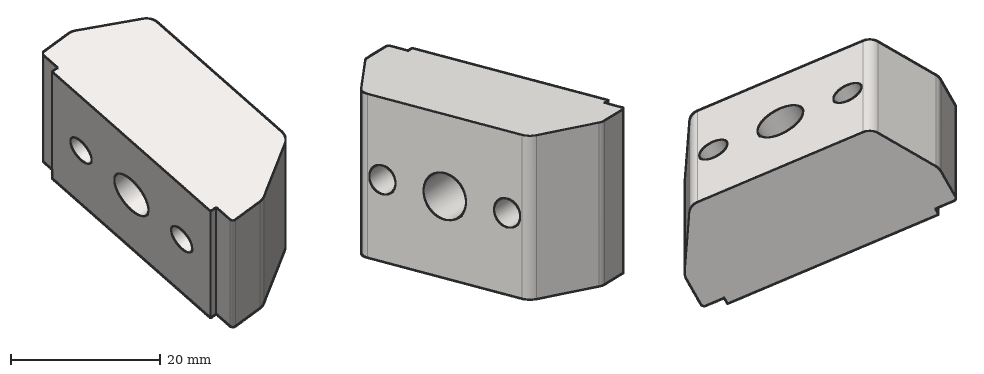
import cadquery as cq
import math

width = 38.0
depth = 16.0
height = 24.0

pad_width = 31.5
pad_thickness = 1.0

back_width = 27.0
slope_angle = 60.0
slope_fillet = 2.0
front_fillet = 0.5

center_hole_diameter = 6.8
side_hole_diameter = 4.2
side_hole_offset = 10.0

half_width = width / 2
half_pad = pad_width / 2
shoulder_y = pad_thickness
half_back = back_width / 2
slope_depth = (half_width - half_back) * math.tan(math.radians(slope_angle))
slope_start_y = depth - slope_depth


def vertical_edges_at(solid, half_x, y):
    """Select the pair of vertical edges at X = -half_x and X = +half_x."""
    reach = 0.01
    return solid.edges("|Z").edges(
        cq.selectors.BoxSelector(
            (-half_x - reach, y - reach, 0),
            (-half_x + reach, y + reach, height),
        )
        + cq.selectors.BoxSelector(
            (half_x - reach, y - reach, 0),
            (half_x + reach, y + reach, height),
        )
    )


def make_block():
    outline = [
        (-half_pad, 0),
        (half_pad, 0),
        (half_pad, shoulder_y),
        (half_width, shoulder_y),
        (half_width, slope_start_y),
        (half_back, depth),
        (-half_back, depth),
        (-half_width, slope_start_y),
        (-half_width, shoulder_y),
        (-half_pad, shoulder_y),
    ]
    block = cq.Workplane("XY").polyline(outline).close().extrude(height)
    block = vertical_edges_at(block, half_back, depth).fillet(slope_fillet)
    block = vertical_edges_at(block, half_width, slope_start_y).fillet(slope_fillet)
    return vertical_edges_at(block, half_width, shoulder_y).fillet(front_fillet)


def through_hole(x, diameter):
    """Cylinder along +Y through the full depth, at mid height."""
    return (
        cq.Workplane("XZ")
        .center(x, height / 2)
        .circle(diameter / 2)
        .extrude(-depth)
    )


result = make_block().cut(through_hole(0, center_hole_diameter))
for hole_x in (-side_hole_offset, side_hole_offset):
    result = result.cut(through_hole(hole_x, side_hole_diameter))